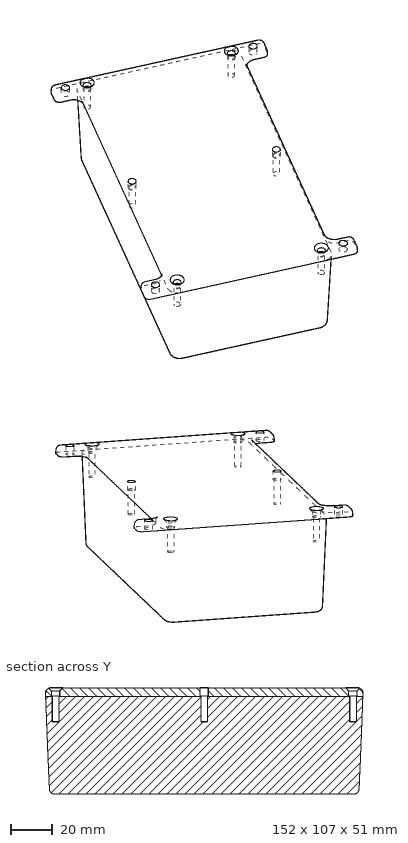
import cadquery as cq

LENGTH = 152.0
LID_WIDTH = 107.0
HEIGHT = 51.0

LID_THICKNESS = 4.1
LID_DRAFT = 2.0
LID_ROUND = 2.6
EAR_WIDTH = 9.9
EAR_REACH = 12.5

BOX_DRAFT = 2.0
BOX_FLOOR_ROUND = 2.5
CORNER_RADIUS = 4.9
BOX_WIDTH = LID_WIDTH - 2 * EAR_REACH
BOX_HEIGHT = HEIGHT - LID_THICKNESS

HOLE_INSET = 4.9
HOLE_X = LENGTH / 2 - HOLE_INSET
SCREW_Y = BOX_WIDTH / 2 - HOLE_INSET
EAR_HOLE_INSET = 6.4
EAR_HOLE_DIAMETER = 4.0
EAR_HOLE_Y = LID_WIDTH / 2 - EAR_HOLE_INSET
SCREW_HOLE_DIAMETER = 3.8
SINK_DIAMETER = 6.7
SINK_ANGLE = 82.0
PILOT_DIAMETER = 3.0
PILOT_DEPTH = 12.2

SCREW_POINTS = [(x, y) for x in (-HOLE_X, HOLE_X) for y in (-SCREW_Y, SCREW_Y)]
MIDDLE_POINTS = [(0, -SCREW_Y), (0, SCREW_Y)]
EAR_POINTS = [(x, y) for x in (-HOLE_X, HOLE_X) for y in (-EAR_HOLE_Y, EAR_HOLE_Y)]


def make_box():
    """Drafted box, widest at its rim, with rounded walls and floor edge and pilot holes."""
    box = (
        cq.Workplane("XY").workplane(offset=BOX_HEIGHT)
        .rect(LENGTH, BOX_WIDTH)
        .extrude(-BOX_HEIGHT, taper=BOX_DRAFT)
    )
    box = box.edges("not(#Z)").fillet(CORNER_RADIUS)
    box = box.faces("<Z").edges().fillet(BOX_FLOOR_ROUND)
    return (
        box.faces(">Z").workplane(origin=(0, 0, BOX_HEIGHT))
        .pushPoints(SCREW_POINTS + MIDDLE_POINTS)
        .circle(PILOT_DIAMETER / 2).cutBlind(-PILOT_DEPTH)
    )


def make_bay(side):
    """Gap between two ears, drafted to widen upwards, on the given side of the lid."""
    profile = (
        cq.Sketch()
        .rect(LENGTH - 2 * EAR_WIDTH, 2 * EAR_REACH)
        .vertices().fillet(CORNER_RADIUS)
    )
    return (
        cq.Workplane("XY").workplane(offset=BOX_HEIGHT)
        .center(0, side * LID_WIDTH / 2)
        .placeSketch(profile)
        .extrude(LID_THICKNESS, taper=-LID_DRAFT)
    )


def make_lid():
    """Drafted H-shaped lid with countersunk screw holes and plain holes."""
    lid = (
        cq.Workplane("XY").workplane(offset=BOX_HEIGHT)
        .rect(LENGTH, LID_WIDTH)
        .extrude(LID_THICKNESS, taper=LID_DRAFT)
    )
    for side in (-1, 1):
        lid = lid.cut(make_bay(side))

    ear_ends = lid.edges("not(#Z)").filter(
        lambda edge: abs(edge.Center().y) > LID_WIDTH / 2 - LID_ROUND and edge.geomType() == "LINE"
    )
    lid = lid.faces(">Z").edges().add(ear_ends).fillet(LID_ROUND)

    return (
        lid.faces(">Z").workplane(origin=(0, 0, HEIGHT))
        .pushPoints(EAR_POINTS).hole(EAR_HOLE_DIAMETER)
        .pushPoints(MIDDLE_POINTS).hole(SCREW_HOLE_DIAMETER)
        .pushPoints(SCREW_POINTS).cskHole(SCREW_HOLE_DIAMETER, SINK_DIAMETER, SINK_ANGLE)
    )


box = make_box()
lid = make_lid()
result = cq.Compound.makeCompound([box.val(), lid.val()])